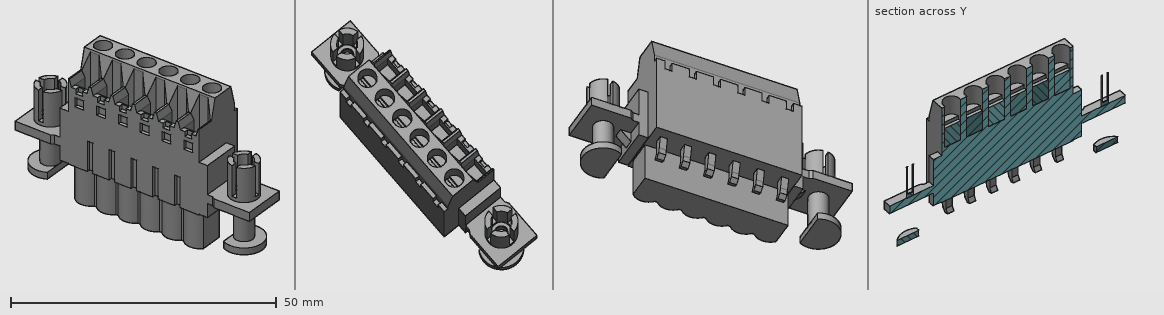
import cadquery as cq

POLES = 6
PITCH = 5.1
POLE_XS = [(i - (POLES - 1) / 2) * PITCH for i in range(POLES)]
GAP_XS = [(i - POLES / 2) * PITCH for i in range(1, POLES)]

TOP_Z = 31.8
BOTTOM_Z = 8.4
FRONT_Y = -4.3
BACK_Y = 7.9
CORE_WIDTH = POLES * PITCH
SHOULDER_Z = 27.35
RIDGE_FRONT_Y = 0.75
RIDGE_BACK_Y = 5.8
SLOPE_FOOT_Y = -0.4
UPPER_BACK_Y = 7.0
BACK_STEP_Z = 25.85

WIDE_WIDTH = 34.45
WIDE_TOP_Z = 20.1
WIDE_BOTTOM_Z = 8.6
WIDE_DEPTH = -2 * FRONT_Y

OVERALL_LENGTH = 54.7
FLANGE_WIDTH = 9.5
FLANGE_TOP_Z = 13.65
FLANGE_BOTTOM_Z = 11.7
NECK_END_X = 18.4
FLANGE_START_X = 19.1
GUSSET_LENGTH = 2.2
GUSSET_THICKNESS = 2.0

NOSE_LOBE_WIDTH = 4.6
NOSE_BACK_Y = 2.45
NOSE_FLANK_Y = -2.6
NOSE_FRONT_Y = -3.6

LATCH_WIDTH = 1.5
LATCH_PROFILE = [(5.85, BOTTOM_Z), (5.35, 5.95), (5.15, 4.9), (4.3, 4.1), (3.55, 4.3), (4.1, 5.3), (4.1, BOTTOM_Z)]
BACK_GROOVE_DEPTH = 1.95

FUNNEL_BACK_Y = 0.65
FUNNEL_MOUTH_HALF = 2.3
FUNNEL_THROAT_HALF = 1.8
LEDGE_Z = 25.7
FRONT_WALL = 1.15
WINDOW_SIZE = 2.0
FUNNEL_BACK_HALF = WINDOW_SIZE / 2
WINDOW_BOTTOM_Z = 21.7
WINDOW_DEPTH = 0.75
FUNNEL_FLOOR_Z = WINDOW_BOTTOM_Z
NOTCH_WIDTH = 1.55
NOTCH_HEIGHT = 1.05
NOTCH_DEPTH = 0.8

FRONT_GROOVE_WIDTH = 1.25
FRONT_GROOVE_TOP_Z = 15.15

SCREW_DIAMETER = 3.6
SCREW_Y = (RIDGE_FRONT_Y + RIDGE_BACK_Y) / 2
SCREW_TOP_Z = SHOULDER_Z
SCREW_LENGTH = 5.45
SCREW_SLOT_WIDTH = 0.65
SCREW_SLOT_DEPTH = 0.8

PIN_X = 22.6
SHAFT_DIAMETER = 4.05
DISC_DIAMETER = 8.55
DISC_BOTTOM_Z = 2.8
DISC_TOP_Z = 4.3
KNOB_DIAMETER = 6.25
KNOB_BORE_DIAMETER = 3.95
KNOB_TOP_Z = 21.25
KNOB_SLOT_WIDTH = 1.05
KNOB_SLOT_FLOOR_Z = 14.5
PIN_HOLE_DIAMETER = 2.25
PIN_HOLE_CHAMFER = 0.135


def box(x_range, y_range, z_range):
    """Box spanning the given (low, high) range on each axis."""
    (x0, x1), (y0, y1), (z0, z1) = x_range, y_range, z_range
    return cq.Workplane("XY").box(x1 - x0, y1 - y0, z1 - z0, centered=False).translate((x0, y0, z0))


def centred(middle, width):
    """Low and high ends of a width centred on a value."""
    return (middle - width / 2, middle + width / 2)


def cylinder(x, y, diameter, z0, z1):
    """Upright cylinder from z0 to z1."""
    return cq.Workplane("XY", origin=(x, y, z0)).circle(diameter / 2).extrude(z1 - z0)


def extrude_along_x(profile, middle, width):
    """Closed (Y, Z) profile extruded along X, centred on a place."""
    start = middle - width / 2
    return cq.Workplane("YZ", origin=(start, 0, 0)).polyline(profile).close().extrude(width)


def make_housing_shell():
    core = extrude_along_x(
        [
            (FRONT_Y, BOTTOM_Z),
            (BACK_Y, BOTTOM_Z),
            (BACK_Y, BACK_STEP_Z),
            (UPPER_BACK_Y, BACK_STEP_Z),
            (UPPER_BACK_Y, SHOULDER_Z),
            (RIDGE_BACK_Y, TOP_Z),
            (RIDGE_FRONT_Y, TOP_Z),
            (SLOPE_FOOT_Y, SHOULDER_Z),
            (FRONT_Y, SHOULDER_Z),
        ],
        0,
        CORE_WIDTH,
    )
    wide = box(centred(0, WIDE_WIDTH), centred(0, WIDE_DEPTH), (WIDE_BOTTOM_Z, WIDE_TOP_Z))
    return core.union(wide)


def make_flanges():
    """Plate for both flanges, running through the housing from end to end."""
    end_x = OVERALL_LENGTH / 2
    outer_y = FLANGE_WIDTH / 2
    neck_y = WIDE_DEPTH / 2
    corner = [(NECK_END_X, neck_y), (FLANGE_START_X, outer_y), (end_x, outer_y)]
    right_end = corner + [(x, -y) for x, y in reversed(corner)]
    left_end = [(-x, -y) for x, y in right_end]
    return (
        cq.Workplane("XY", origin=(0, 0, FLANGE_BOTTOM_Z))
        .polyline(right_end + left_end)
        .close()
        .extrude(FLANGE_TOP_Z - FLANGE_BOTTOM_Z)
    )


def make_gusset(side):
    """Triangular rib under the flange on one side (-1 or 1)."""
    root_x = side * WIDE_WIDTH / 2
    return (
        cq.Workplane("XZ")
        .polyline(
            [
                (root_x, FLANGE_BOTTOM_Z),
                (root_x + side * GUSSET_LENGTH, FLANGE_BOTTOM_Z),
                (root_x, FLANGE_BOTTOM_Z - GUSSET_LENGTH),
            ]
        )
        .close()
        .extrude(GUSSET_THICKNESS / 2, both=True)
    )


def make_nose():
    """Plug nose: a straight block with one rounded lobe per pole along its front."""
    half = NOSE_LOBE_WIDTH / 2
    ends = (POLE_XS[0] - half, POLE_XS[-1] + half)
    nose = box(ends, (NOSE_FLANK_Y, NOSE_BACK_Y), (0, BOTTOM_Z))
    for x in POLE_XS:
        lobe = (
            cq.Workplane("XY")
            .moveTo(x - half, NOSE_FLANK_Y)
            .threePointArc((x, NOSE_FRONT_Y), (x + half, NOSE_FLANK_Y))
            .close()
            .extrude(BOTTOM_Z)
        )
        nose = nose.union(lobe)
    return nose


def make_funnel_cutter(x):
    """Wire funnel: flared in plan, narrowing to a throat behind a low front wall."""
    plan = (
        cq.Workplane("XY", origin=(x, 0, FUNNEL_FLOOR_Z))
        .polyline(
            [
                (-FUNNEL_BACK_HALF, FUNNEL_BACK_Y),
                (-FUNNEL_MOUTH_HALF, SLOPE_FOOT_Y),
                (-FUNNEL_MOUTH_HALF, FRONT_Y),
                (FUNNEL_MOUTH_HALF, FRONT_Y),
                (FUNNEL_MOUTH_HALF, SLOPE_FOOT_Y),
                (FUNNEL_BACK_HALF, FUNNEL_BACK_Y),
            ]
        )
        .close()
        .extrude(TOP_Z - FUNNEL_FLOOR_Z)
    )
    section = (
        cq.Workplane("XZ", origin=(x, FUNNEL_BACK_Y, 0))
        .polyline(
            [
                (-FUNNEL_THROAT_HALF, FUNNEL_FLOOR_Z),
                (FUNNEL_THROAT_HALF, FUNNEL_FLOOR_Z),
                (FUNNEL_THROAT_HALF, LEDGE_Z),
                (FUNNEL_MOUTH_HALF, SHOULDER_Z),
                (FUNNEL_MOUTH_HALF, TOP_Z),
                (-FUNNEL_MOUTH_HALF, TOP_Z),
                (-FUNNEL_MOUTH_HALF, SHOULDER_Z),
                (-FUNNEL_THROAT_HALF, LEDGE_Z),
            ]
        )
        .close()
        .extrude(FUNNEL_BACK_Y - FRONT_Y)
    )
    front_wall = box(
        centred(x, 2 * FUNNEL_MOUTH_HALF), (FRONT_Y, FRONT_Y + FRONT_WALL), (FUNNEL_FLOOR_Z, LEDGE_Z)
    )
    return plan.intersect(section).cut(front_wall)


def make_window_cutter(x):
    """Blind square window in the front wall."""
    return box(
        centred(x, WINDOW_SIZE),
        (FRONT_Y, FRONT_Y + WINDOW_DEPTH),
        (WINDOW_BOTTOM_Z, WINDOW_BOTTOM_Z + WINDOW_SIZE),
    )


def make_notch_cutter(x):
    """Shallow notch in the top edge of the front wall."""
    return box(centred(x, NOTCH_WIDTH), (FRONT_Y, FRONT_Y + NOTCH_DEPTH), (LEDGE_Z - NOTCH_HEIGHT, LEDGE_Z))


def make_back_groove_cutter(x):
    """Short groove down from the step at the back."""
    return box(centred(x, LATCH_WIDTH), (UPPER_BACK_Y, BACK_Y), (BACK_STEP_Z - BACK_GROOVE_DEPTH, BACK_STEP_Z))


def make_front_groove_cutter(x):
    """Groove between two poles, open at the bottom and as deep as the nose front."""
    return box(centred(x, FRONT_GROOVE_WIDTH), (FRONT_Y, NOSE_FRONT_Y), (BOTTOM_Z, FRONT_GROOVE_TOP_Z))


def make_housing():
    housing = make_housing_shell().union(make_flanges()).union(make_nose())
    for side in (-1, 1):
        housing = housing.union(make_gusset(side))
        housing = housing.cut(cylinder(side * PIN_X, 0, SHAFT_DIAMETER, FLANGE_BOTTOM_Z, FLANGE_TOP_Z))
    for x in POLE_XS:
        housing = housing.union(extrude_along_x(LATCH_PROFILE, x, LATCH_WIDTH))
        housing = housing.cut(make_funnel_cutter(x))
        housing = housing.cut(make_window_cutter(x))
        housing = housing.cut(make_notch_cutter(x))
        housing = housing.cut(make_back_groove_cutter(x))
        housing = housing.cut(cylinder(x, SCREW_Y, SCREW_DIAMETER, SCREW_TOP_Z - SCREW_LENGTH, TOP_Z))
    for x in GAP_XS:
        housing = housing.cut(make_front_groove_cutter(x))
    return housing


def make_screw(x):
    """Slotted clamping screw filling the lower part of its hole."""
    screw = cylinder(x, SCREW_Y, SCREW_DIAMETER, SCREW_TOP_Z - SCREW_LENGTH, SCREW_TOP_Z)
    slot = box(
        centred(x, SCREW_DIAMETER),
        centred(SCREW_Y, SCREW_SLOT_WIDTH),
        (SCREW_TOP_Z - SCREW_SLOT_DEPTH, SCREW_TOP_Z),
    )
    return screw.cut(slot)


def make_lock_pin(side):
    """Pin through the flange: cross-slotted hollow knob above, shaft and flatted disc below."""
    x = side * PIN_X
    disc = cylinder(x, 0, DISC_DIAMETER, DISC_BOTTOM_Z, DISC_TOP_Z)
    flat_x = x - side * SHAFT_DIAMETER / 2
    beyond_flat = flat_x - side * DISC_DIAMETER
    disc = disc.cut(
        box(sorted((flat_x, beyond_flat)), centred(0, DISC_DIAMETER), (DISC_BOTTOM_Z, DISC_TOP_Z))
    )
    pin = disc.union(cylinder(x, 0, SHAFT_DIAMETER, DISC_TOP_Z, FLANGE_TOP_Z))

    knob = cylinder(x, 0, KNOB_DIAMETER, FLANGE_TOP_Z, KNOB_TOP_Z)
    knob = knob.cut(cylinder(x, 0, KNOB_BORE_DIAMETER, FLANGE_TOP_Z, KNOB_TOP_Z))
    slot_z = (KNOB_SLOT_FLOOR_Z, KNOB_TOP_Z)
    knob = knob.cut(box(centred(x, KNOB_DIAMETER), centred(0, KNOB_SLOT_WIDTH), slot_z))
    knob = knob.cut(box(centred(x, KNOB_SLOT_WIDTH), centred(0, KNOB_DIAMETER), slot_z))
    pin = pin.union(knob)

    hole = cylinder(x, 0, PIN_HOLE_DIAMETER, FLANGE_BOTTOM_Z, FLANGE_TOP_Z)
    countersink = cq.Workplane(
        cq.Solid.makeCone(
            PIN_HOLE_DIAMETER / 2,
            PIN_HOLE_DIAMETER / 2 + PIN_HOLE_CHAMFER,
            PIN_HOLE_CHAMFER,
            cq.Vector(x, 0, FLANGE_TOP_Z - PIN_HOLE_CHAMFER),
        )
    )
    return pin.cut(hole).cut(countersink)


housing = make_housing()
screws = [make_screw(x).val() for x in POLE_XS]
lock_pins = [make_lock_pin(side).val() for side in (-1, 1)]

result = cq.Compound.makeCompound([housing.val(), *screws, *lock_pins])